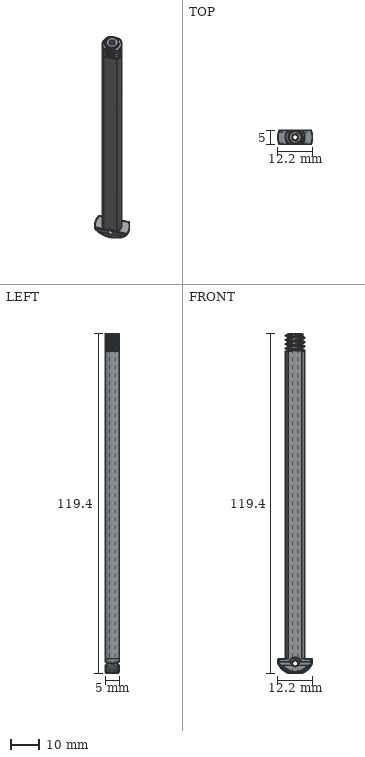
import cadquery as cq
import math

total_length = 119.35
flat_thickness = 5.0
flat_y = flat_thickness / 2

shank_diameter = 6.9
shank_radius = shank_diameter / 2

head_diameter = 12.2
head_height = 5.0
head_rim_height = 1.5
head_rim_fillet = 0.5
head_bottom_diameter = 5.0
dome_bevel_width = 0.5
dome_bevel_depth = 0.5

bore_diameter = 2.0
bore_radius = bore_diameter / 2
cross_bore_z = 3.4
flare_radius = 2.1
wire_groove_diameter = 1.3

thread_length = 6.2
thread_pitch = 1.5
thread_core_radius = 2.45
thread_root_width = 1.2
thread_overlap = 0.1
thread_start_drop = 1.3
tip_radius = 2.15
tip_taper_height = 0.8

shoulder_z = total_length - thread_length


def make_slab(width, height):
    """Block whose two faces form the flats of the part."""
    return cq.Workplane("XY").box(width, flat_thickness, height, centered=(True, True, False))


def make_dome_bevel(sphere_radius, sphere_z):
    """Disc turned about a Y axis through the sphere centre; its conical rims bevel the dome edges."""
    bevel_y = flat_y - dome_bevel_width
    outer_radius = math.sqrt(sphere_radius**2 - bevel_y**2)
    face_radius = math.sqrt(sphere_radius**2 - flat_y**2) - dome_bevel_depth
    return (
        cq.Workplane("XY")
        .moveTo(0, -flat_y)
        .lineTo(face_radius, -flat_y)
        .lineTo(outer_radius, -bevel_y)
        .lineTo(sphere_radius + dome_bevel_width, 0)
        .lineTo(outer_radius, bevel_y)
        .lineTo(face_radius, flat_y)
        .lineTo(0, flat_y)
        .close()
        .revolve(360, (0, 0, 0), (0, 1, 0))
        .translate((0, 0, sphere_z))
    )


def make_head():
    """Head turned about Z with a spherical underside, cut to the flats and bevelled along the dome."""
    rim_radius = head_diameter / 2
    crown_radius = head_bottom_diameter / 2
    rim_z = head_height - head_rim_height
    sphere_z = (rim_radius**2 + rim_z**2 - crown_radius**2) / (2 * rim_z)
    sphere_radius = math.hypot(crown_radius, sphere_z)
    middle_z = rim_z / 3
    middle_x = math.sqrt(sphere_radius**2 - (sphere_z - middle_z) ** 2)
    turned = (
        cq.Workplane("XZ")
        .lineTo(crown_radius, 0)
        .threePointArc((middle_x, middle_z), (rim_radius, rim_z))
        .lineTo(rim_radius, head_height)
        .lineTo(0, head_height)
        .close()
        .revolve(360, (0, 0, 0), (0, 1, 0))
        .faces(">Z")
        .edges()
        .fillet(head_rim_fillet)
    )
    head = turned.intersect(make_slab(head_diameter, head_height))
    lower_slab = make_slab(head_diameter, cross_bore_z)
    bevel_waste = lower_slab.cut(make_dome_bevel(sphere_radius, sphere_z))
    return head.cut(bevel_waste)


def make_shank():
    shank_length = shoulder_z - head_height
    shank = cq.Workplane("XY").circle(shank_radius).extrude(shank_length)
    return shank.intersect(make_slab(shank_diameter, shank_length)).translate((0, 0, head_height))


def make_ridge():
    """Helical thread ridge that runs past both ends of the thread."""
    foot_radius = thread_core_radius - thread_overlap
    helix_height = thread_length + 2 * thread_pitch
    helix = cq.Wire.makeHelix(thread_pitch, helix_height, foot_radius)
    return (
        cq.Workplane("XZ")
        .moveTo(foot_radius, -thread_root_width / 2)
        .lineTo(shank_radius, 0)
        .lineTo(foot_radius, thread_root_width / 2)
        .close()
        .sweep(cq.Workplane(helix), isFrenet=True)
        .translate((0, 0, -thread_start_drop))
    )


def make_tip_waste():
    """Material around the conical lead-in at the top of the thread."""
    base_z = thread_length - tip_taper_height
    ring = cq.Workplane("XY").circle(shank_diameter).extrude(tip_taper_height + thread_pitch)
    cone = cq.Solid.makeCone(shank_radius, tip_radius, tip_taper_height)
    return ring.cut(cq.Workplane(cone)).translate((0, 0, base_z))


def make_core():
    core = cq.Workplane("XY").circle(thread_core_radius).extrude(thread_length)
    tip_width = thread_core_radius - tip_radius
    tip_height = tip_width * tip_taper_height / (shank_radius - tip_radius)
    return core.faces(">Z").chamfer(tip_height, tip_width)


def make_flats_waste():
    """Material outside the two flats over the length of the thread."""
    block_width = 4 * shank_diameter
    block = cq.Workplane("XY").box(block_width, block_width, thread_length, centered=(True, True, False))
    return block.cut(make_slab(block_width, thread_length))


def make_thread():
    envelope = cq.Workplane("XY").circle(shank_diameter).extrude(thread_length)
    ridge = make_ridge().intersect(envelope)
    thread = make_core().union(ridge).cut(make_flats_waste()).cut(make_tip_waste())
    return thread.translate((0, 0, shoulder_z))


def make_bores():
    along = cq.Workplane("XY").circle(bore_radius).extrude(total_length)
    across = (
        cq.Workplane("XZ")
        .center(0, cross_bore_z)
        .circle(bore_radius)
        .extrude(flat_thickness, both=True)
    )
    return along.union(across)


def make_flare(side):
    """Upper half of a 45 degree cone that opens the cross bore towards one flat."""
    depth = flare_radius - bore_radius
    cone = cq.Solid.makeCone(
        flare_radius, bore_radius, depth, cq.Vector(0, side * flat_y, cross_bore_z), cq.Vector(0, -side, 0)
    )
    upper_half = cq.Workplane("XY", origin=(0, 0, cross_bore_z)).box(
        2 * flare_radius, 2 * flat_thickness, 2 * flare_radius, centered=(True, True, False)
    )
    return upper_half.intersect(cq.Workplane(cone))


def make_wire_groove(side):
    return (
        cq.Workplane("YZ")
        .center(side * flat_y, cross_bore_z)
        .circle(wire_groove_diameter / 2)
        .extrude(head_diameter, both=True)
    )


part = make_head().union(make_shank()).union(make_thread()).cut(make_bores())
for side in (-1, 1):
    part = part.cut(make_wire_groove(side)).cut(make_flare(side))

result = cq.Workplane(part.solids().val())